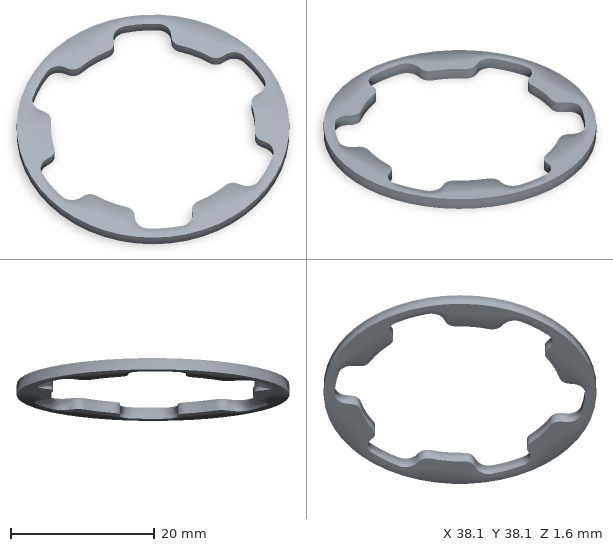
import cadquery as cq
import math

outer_diameter = 38.1
thickness = 1.6

land_radius = 14.3
notch_radius = 17.5
notch_width = 8.08
notch_count = 6
notch_corner_radius = 1.9
land_corner_radius = 1.52


def make_notch():
    """One parallel-sided notch across the ring, ended by arcs about its axis."""
    disc = cq.Workplane("XY").circle(notch_radius).extrude(thickness)
    slot = cq.Workplane("XY").rect(notch_width, outer_diameter).extrude(thickness)
    return slot.intersect(disc).edges("|Z").fillet(notch_corner_radius)


def make_opening():
    """Central bore with equally spaced notches and rounded land corners."""
    opening = cq.Workplane("XY").circle(land_radius).extrude(thickness)
    notch_pair = make_notch()
    for index in range(notch_count // 2):
        angle = index * 360 / notch_count
        opening = opening.union(notch_pair.rotate((0, 0, 0), (0, 0, 1), angle))

    tolerance = 0.005
    land_corners = [
        edge
        for edge in opening.edges("|Z").vals()
        if abs(math.hypot(edge.Center().x, edge.Center().y) - land_radius) < tolerance
    ]
    return opening.newObject(land_corners).fillet(land_corner_radius)


ring = cq.Workplane("XY").circle(outer_diameter / 2).extrude(thickness)
result = ring.cut(make_opening())